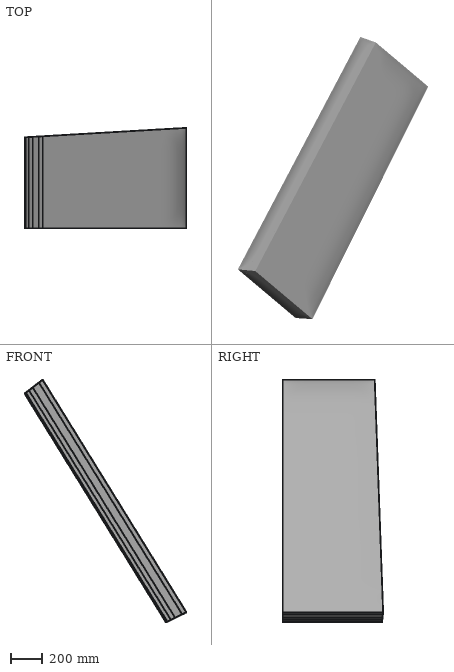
import cadquery as cq
import math

golden_ratio = (1 + math.sqrt(5)) / 2
slope = math.atan(golden_ratio)

inner_lining_thickness = 10
inner_sheet_thickness = 25
middle_sheet_thickness = 30
core_thickness = 50
outer_sheet_thickness = 30
panel_thickness = (
    inner_lining_thickness
    + inner_sheet_thickness
    + middle_sheet_thickness
    + core_thickness
    + outer_sheet_thickness
)

overall_run = 1034.38
overall_width = 641.93
overall_rise = 1550.31

top_overhang = 14.5
side_overhang = 7

side_spread = 0.0307

inner_length = (overall_rise - panel_thickness * math.cos(slope)) / math.sin(slope) - top_overhang
bottom_overhang = (overall_run - panel_thickness * math.sin(slope)) / math.cos(slope) - inner_length

inner_face = cq.Plane(
    origin=(0, 0, inner_length * math.sin(slope)),
    xDir=(math.cos(slope), 0, -math.sin(slope)),
    normal=(math.sin(slope), 0, math.cos(slope)),
)


def panel_outline(depth):
    """Corners of the panel's cross-section at a depth above the inner face."""
    fraction = depth / panel_thickness
    top = -top_overhang * fraction
    bottom = inner_length + bottom_overhang * fraction
    outer_bottom = inner_length + bottom_overhang
    outer_side_shift = side_overhang * (1 - fraction)

    def width(position):
        return overall_width - side_spread * (outer_bottom - position) - outer_side_shift

    return [(top, 0), (bottom, 0), (bottom, width(bottom)), (top, width(top))]


def layer(start, thickness):
    """One layer of the panel, with its edges following the mitred edge planes."""
    return (
        cq.Workplane(inner_face)
        .workplane(offset=start)
        .polyline(panel_outline(start))
        .close()
        .workplane(offset=thickness)
        .polyline(panel_outline(start + thickness))
        .close()
        .loft(ruled=True)
    )


inner_sheet_start = inner_lining_thickness
middle_sheet_start = inner_sheet_start + inner_sheet_thickness
core_start = middle_sheet_start + middle_sheet_thickness
outer_sheet_start = core_start + core_thickness

inner_lining = layer(0, inner_lining_thickness)
inner_sheet = layer(inner_sheet_start, inner_sheet_thickness)
middle_sheet = layer(middle_sheet_start, middle_sheet_thickness)
core = layer(core_start, core_thickness)
outer_sheet = layer(outer_sheet_start, outer_sheet_thickness)

result = cq.Compound.makeCompound(
    [inner_lining.val(), inner_sheet.val(), middle_sheet.val(), core.val(), outer_sheet.val()]
)